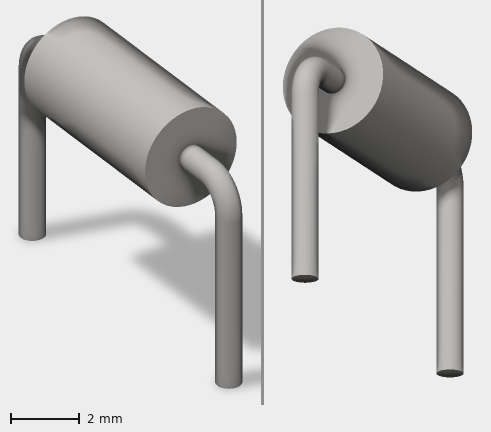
import cadquery as cq

overall_length = 11.2
overall_height = 8.2
body_diameter = 3.2
body_length = 6.4
band_length = 0.6
lead_diameter = 0.8
bend_radius = 1.0

lead_x = (overall_length - lead_diameter) / 2
lead_bottom_z = body_diameter / 2 - overall_height
body_end_x = body_length / 2


def make_cylinder(start_x, length):
    """Length of body along +X from start_x."""
    return cq.Workplane("YZ", origin=(start_x, 0, 0)).circle(body_diameter / 2).extrude(length)


def make_lead(side):
    """Round lead from the body end face, bent down; side is -1 or +1 along X."""
    bend_start_x = lead_x - bend_radius
    path = (
        cq.Workplane("XZ")
        .moveTo(side * body_end_x, 0)
        .lineTo(side * bend_start_x, 0)
        .radiusArc((side * lead_x, -bend_radius), side * bend_radius)
        .lineTo(side * lead_x, lead_bottom_z)
    )
    profile = cq.Workplane("YZ", origin=(side * body_end_x, 0, 0)).circle(lead_diameter / 2)
    return profile.sweep(path)


band = make_cylinder(-body_end_x, band_length)
main_body = make_cylinder(-body_end_x + band_length, body_length - band_length)
result = band.union(main_body, clean=False)

for side in (-1, 1):
    result = result.union(make_lead(side), clean=False)